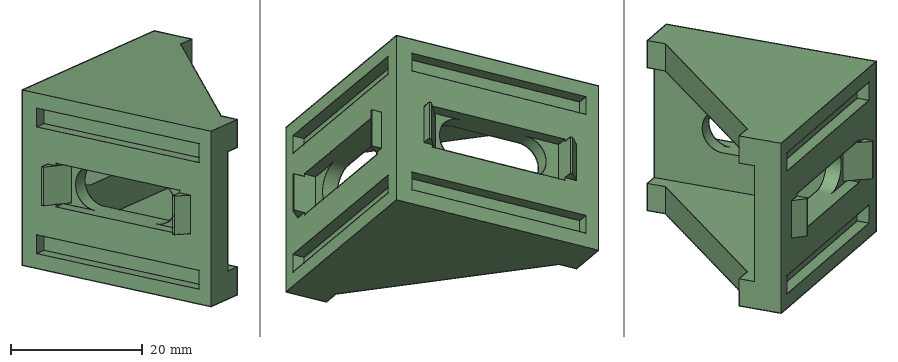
import cadquery as cq

leg_length = 34.95
height = 28.0
mid_height = height / 2
leg_end_width = 7.0
leg_end_straight = 3.0

wall_thickness = 4.48
web_thickness = 4.48

recess_depth = 2.0
recess_start = 6.25
recess_end = 29.12
slot_start = 8.52
slot_end = 26.95
slot_height = 6.98
groove_start = 2.68
groove_end = 32.75
groove_height = 3.0
groove_edge_distance = 2.4

clip_height = 6.17
clip_tip_width = 0.33
inner_clip_start = 4.77
inner_clip_foot = 7.8
inner_clip_reach = 1.65
outer_clip_foot = 31.15
outer_clip_reach = 1.75


def box(x_range, y_range, z_range):
    """Axis-aligned block spanning three (low, high) ranges."""
    sizes = [high - low for low, high in (x_range, y_range, z_range)]
    corner = (x_range[0], y_range[0], z_range[0])
    return cq.Workplane("XY").box(*sizes, centered=False).translate(corner)


def on_both_walls(feature):
    """Join a feature of the -Y wall with its reflection in the plane X = Y."""
    reflected = feature.rotate((0, 0, 0), (0, 0, 1), 90).mirror("YZ")
    return feature.union(reflected)


def bracket_body():
    sloped_start = leg_length - leg_end_straight
    outline = [
        (0, 0),
        (leg_length, 0),
        (leg_length, leg_end_width),
        (sloped_start, leg_end_width),
        (leg_end_width, sloped_start),
        (leg_end_width, leg_length),
        (0, leg_length),
    ]
    body = cq.Workplane("XY").polyline(outline).close().extrude(height)
    hollow_range = (wall_thickness, leg_length)
    hollow = box(hollow_range, hollow_range, (web_thickness, height - web_thickness))
    return body.cut(hollow)


def wall_openings():
    recess_z = (mid_height - slot_height / 2, mid_height + slot_height / 2)
    openings = box((recess_start, recess_end), (0, recess_depth), recess_z)
    slot = (
        cq.Workplane("XZ", origin=((slot_start + slot_end) / 2, 0, mid_height))
        .slot2D(slot_end - slot_start, slot_height)
        .extrude(-wall_thickness)
    )
    openings = openings.union(slot)

    for bottom in (groove_edge_distance, height - groove_edge_distance - groove_height):
        groove_z = (bottom, bottom + groove_height)
        openings = openings.union(box((groove_start, groove_end), (0, recess_depth), groove_z))
    return openings


def clip(start, reach, foot, foot_depth):
    """Wedge with a blunt tip, an upright side at start and a sloped side down to foot."""
    profile = [
        (start, foot_depth),
        (start, -reach),
        (start + clip_tip_width, -reach),
        (foot, foot_depth),
    ]
    return (
        cq.Workplane("XY", origin=(0, 0, mid_height))
        .polyline(profile)
        .close()
        .extrude(clip_height / 2, both=True)
    )


def wall_clips():
    inner = clip(inner_clip_start, inner_clip_reach, inner_clip_foot, recess_depth)
    outer = clip(recess_end, outer_clip_reach, outer_clip_foot, 0)
    return inner.union(outer)


result = bracket_body().cut(on_both_walls(wall_openings())).union(on_both_walls(wall_clips()))